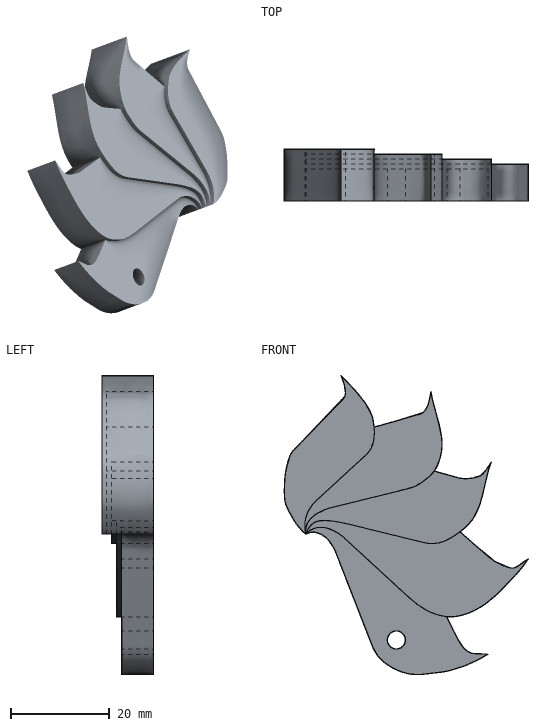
import cadquery as cq
import math


ROOT = (0.0, 0.0)
TOP_THICKNESS = 10.5
THICKNESS_STEP = 1.0

HOLE_DIAMETER = 3.6
HOLE_CENTRE = (18.3, -21.4)

TOP_BACK = [
    (-2.6, 16.9), (-3.6, 14.9), (-4.2, 12.2), (-4.4, 9.0),
    (-4.2, 6.4), (-3.4, 4.5), (-0.7, 0.6), ROOT,
]

FEATHERS = [
    {
        "curl": [ROOT, (-0.2, 2.4), (0.6, 4.9), (3.0, 7.7)],
        "belly": [(11.0, 15.0), (12.9, 16.9), (13.7, 18.9)],
        "joint": (13.8, 21.7),
        "rim": [(13.4, 23.9), (11.9, 26.7), (9.6, 29.5)],
        "tip": (7.1, 32.1),
        "crest": [(7.7, 30.4), (8.0, 28.6), (7.5, 27.3)],
    },
    {
        "curl": [ROOT, (0.4, 2.4), (2.1, 4.1), (7.0, 5.9)],
        "belly": [(18.5, 8.7), (22.1, 9.7), (24.0, 10.9)],
        "joint": (26.0, 12.8),
        "rim": [(27.1, 15.2), (27.5, 17.1), (27.1, 21.7)],
        "tip": (25.3, 28.9),
        "crest": [(25.0, 27.4), (24.2, 25.2), (23.1, 24.3)],
    },
    {
        "curl": [ROOT, (2.6, 2.7), (5.2, 2.7), (10.1, 1.7)],
        "belly": [(23.9, -1.7), (27.1, -1.7)],
        "joint": (31.2, 0.5),
        "rim": [(33.8, 3.1), (35.2, 6.0), (36.1, 9.3)],
        "tip": (37.5, 14.6),
        "crest": [(36.5, 13.1), (35.4, 11.9), (33.8, 11.4), (30.9, 11.4)],
    },
    {
        "curl": [ROOT, (1.7, 1.2), (4.4, 1.2), (8.5, -1.4)],
        "belly": [(20.3, -12.3), (24.8, -15.6)],
        "joint": (28.5, -16.7),
        "rim": [(31.2, -16.5), (35.6, -14.6), (41.2, -9.6), (43.2, -7.4)],
        "tip": (45.0, -5.0),
        "crest": [(43.5, -6.0), (42.1, -6.8), (40.3, -6.5), (36.5, -4.2)],
    },
    {
        "curl": [ROOT, (1.7, 0.4), (4.3, -0.9), (6.4, -4.6)],
        "belly": [(13.4, -22.6), (14.6, -24.7), (17.6, -27.1), (21.0, -28.3)],
        "joint": (23.4, -28.4),
        "rim": [(28.7, -27.7)],
        "tip": (36.8, -24.3),
        "crest": [(35.2, -24.2), (33.6, -24.1), (31.9, -23.0), (30.5, -20.8)],
    },
]


def in_plane(point):
    """Place an (X, Z) point on the front plane."""
    x, z = point
    return cq.Vector(x, 0, z)


def direction(start, end):
    """Unit direction between two (X, Z) points."""
    return (in_plane(end) - in_plane(start)).normalized()


def curve(*stretches, start_direction=None, end_direction=None):
    """One smooth curve through all the points, running straight from each stretch to the next.

    The curve parameter is the distance along the points, so unit directions set the slopes.
    """
    points = []
    tangents = []
    for stretch in stretches:
        points += stretch
        tangents += [None] * len(stretch)
    tangents[0] = start_direction
    tangents[-1] = end_direction

    straight_end = 0
    for before, after in zip(stretches, stretches[1:]):
        straight_end += len(before)
        along = direction(before[-1], after[0])
        tangents[straight_end - 1] = along
        tangents[straight_end] = along

    distances = [0.0]
    for start, end in zip(points, points[1:]):
        distances.append(distances[-1] + math.dist(start, end))
    vectors = [in_plane(point) for point in points]
    return cq.Edge.makeSpline(vectors, tangents=tangents, parameters=distances, scale=False)


def joint_direction(feather):
    """Direction of the lower edge at the joint, where the belly runs on smoothly into the rim."""
    return direction(feather["belly"][-1], feather["rim"][0])


def inner_edge(feather):
    """Lower edge from the root to the joint, shared with the next feather."""
    belly = feather["belly"] + [feather["joint"]]
    return curve(feather["curl"], belly, end_direction=joint_direction(feather))


def rim_edge(feather):
    """Lower edge from the joint out to the tip."""
    points = [feather["joint"]] + feather["rim"] + [feather["tip"]]
    return curve(points, start_direction=joint_direction(feather))


def crest_edge(feather, end_stretch):
    """Upper edge from the tip, then straight back to the points of end_stretch."""
    return curve([feather["tip"]] + feather["crest"], end_stretch)


def make_feather(edges, thickness):
    """Extrude a closed feather outline backwards from the front plane."""
    outline = cq.Wire.assembleEdges(edges)
    return cq.Workplane(obj=cq.Solid.extrudeLinear(outline, [], cq.Vector(0, thickness, 0)))


def make_top_feather():
    """Top feather, closed by its own rounded back."""
    top = FEATHERS[0]
    edges = [inner_edge(top), rim_edge(top), crest_edge(top, TOP_BACK)]
    return make_feather(edges, TOP_THICKNESS)


def make_lower_feather(index):
    """A feather whose crest ends at the joint of the feather above and then follows its lower edge."""
    feather = FEATHERS[index]
    above = FEATHERS[index - 1]
    crest = crest_edge(feather, [above["joint"]])
    edges = [inner_edge(feather), rim_edge(feather), crest, inner_edge(above)]
    return make_feather(edges, TOP_THICKNESS - index * THICKNESS_STEP)


def drill_hole(feather):
    """Round hole right through a feather along Y."""
    x, z = HOLE_CENTRE
    drill = cq.Workplane("XZ").center(x, z).circle(HOLE_DIAMETER / 2).extrude(TOP_THICKNESS, both=True)
    return feather.cut(drill).solids()


feathers = [make_top_feather()]
for index in range(1, len(FEATHERS)):
    feathers.append(make_lower_feather(index))
feathers[-1] = drill_hole(feathers[-1])

result = cq.Compound.makeCompound([feather.val() for feather in feathers])